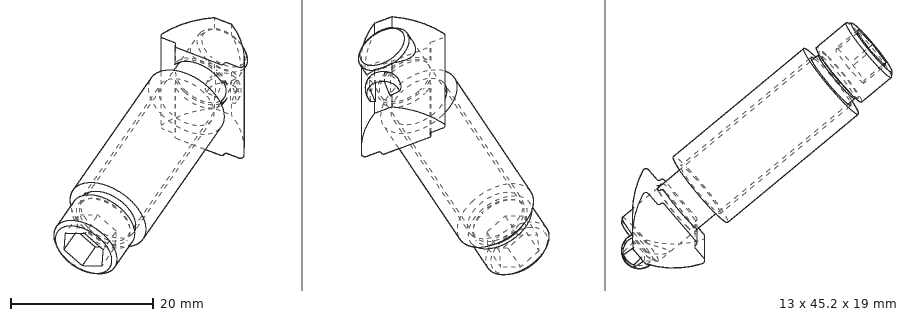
import cadquery as cq
import math

OVERALL_LENGTH = 45.2

SCREW_LENGTH = 42.95
SHANK_DIAMETER = 8.0
TIP_CHAMFER = 0.5
HEAD_DIAMETER = 10.0
HEAD_LENGTH = 6.0
HEAD_CHAMFER = 0.55
NECK_LENGTH = 0.4
NECK_FLARE = 0.25
HEX_ACROSS_FLATS = 6.0
HEX_DEPTH = 3.98
HEX_TURN = -3.4

SLEEVE_DIAMETER = 12.0
CLEARANCE_DIAMETER = 8.75
SLEEVE_LENGTH = 24.0
SLEEVE_START = 7.45

NUT_HEIGHT = 19.0
NUT_TOP = SLEEVE_DIAMETER / 2
NUT_FRONT = 35.15
NUT_BACK = 42.65
STEM_HALF_WIDTH = 3.85
STEM_DEPTH = 0.72
STEM_FILLET = 0.3
SHOULDER_Y = NUT_FRONT + STEM_DEPTH
SHOULDER_HALF_WIDTH = 6.75
SHOULDER_FILLET = 0.5
FLANK_MID_X = 4.2
FLANK_MID_Y = 40.2
BACK_HALF_WIDTH = 1.35

NOSE_Z = -8.5
NOSE_RADIUS = OVERALL_LENGTH - NUT_BACK
NOSE_BAND_HALF_HEIGHT = 1.05
NOSE_CONE_RADIUS = math.sqrt(NOSE_RADIUS**2 - NOSE_BAND_HALF_HEIGHT**2)
NOSE_APEX = NOSE_BAND_HALF_HEIGHT + NOSE_CONE_RADIUS
NOSE_SLOT_WIDTH = 2.35


def rod(diameter, start, length):
    """Cylinder on the screw axis."""
    plane = cq.Workplane("XZ", origin=(0, start, 0))
    return plane.circle(diameter / 2).extrude(-length)


def make_screw():
    shank_radius = SHANK_DIAMETER / 2
    head_radius = HEAD_DIAMETER / 2
    screw = (
        cq.Workplane("XY")
        .polyline([
            (0, 0),
            (head_radius - HEAD_CHAMFER, 0),
            (head_radius, HEAD_CHAMFER),
            (head_radius, HEAD_LENGTH),
            (shank_radius + NECK_FLARE, HEAD_LENGTH),
            (shank_radius, HEAD_LENGTH + NECK_LENGTH),
            (shank_radius, SCREW_LENGTH - TIP_CHAMFER),
            (shank_radius - TIP_CHAMFER, SCREW_LENGTH),
            (0, SCREW_LENGTH),
        ])
        .close()
        .revolve(360, (0, 0), (0, 1))
    )
    hex_across_corners = HEX_ACROSS_FLATS / math.cos(math.pi / 6)
    socket = (
        cq.Workplane("XZ")
        .transformed(rotate=(0, 0, 30 + HEX_TURN))
        .polygon(6, hex_across_corners)
        .extrude(-HEX_DEPTH)
    )
    return screw.cut(socket)


def make_sleeve():
    sleeve = rod(SLEEVE_DIAMETER, SLEEVE_START, SLEEVE_LENGTH)
    return sleeve.cut(rod(CLEARANCE_DIAMETER, SLEEVE_START, SLEEVE_LENGTH))


def make_nut_block():
    """T-shaped prism with curved flanks and rounded shoulder and stem edges."""
    block = (
        cq.Workplane("XY", origin=(0, 0, NUT_TOP))
        .moveTo(STEM_HALF_WIDTH, NUT_FRONT)
        .lineTo(STEM_HALF_WIDTH, SHOULDER_Y)
        .lineTo(SHOULDER_HALF_WIDTH, SHOULDER_Y)
        .threePointArc((FLANK_MID_X, FLANK_MID_Y), (BACK_HALF_WIDTH, NUT_BACK))
        .lineTo(-BACK_HALF_WIDTH, NUT_BACK)
        .threePointArc((-FLANK_MID_X, FLANK_MID_Y), (-SHOULDER_HALF_WIDTH, SHOULDER_Y))
        .lineTo(-STEM_HALF_WIDTH, SHOULDER_Y)
        .lineTo(-STEM_HALF_WIDTH, NUT_FRONT)
        .close()
        .extrude(-NUT_HEIGHT)
    )
    shoulder_corners = [(side * SHOULDER_HALF_WIDTH, SHOULDER_Y) for side in (-1, 1)]
    stem_corners = [(side * STEM_HALF_WIDTH, y) for side in (-1, 1) for y in (NUT_FRONT, SHOULDER_Y)]
    block = round_upright_edges(block, shoulder_corners, SHOULDER_FILLET)
    return round_upright_edges(block, stem_corners, STEM_FILLET)


def round_upright_edges(body, corners, radius):
    """Fillet the Z-parallel edges nearest to the given XY corners."""
    middle_z = NUT_TOP - NUT_HEIGHT / 2
    for x, y in corners:
        edge = cq.selectors.NearestToPointSelector((x, y, middle_z))
        body = body.edges("|Z").edges(edge).fillet(radius)
    return body


def make_nose():
    """Spherical band between two cones about Z, with a round-ended slot through it."""
    nose = (
        cq.Workplane("XZ")
        .moveTo(0, -NOSE_APEX)
        .lineTo(NOSE_CONE_RADIUS, -NOSE_BAND_HALF_HEIGHT)
        .threePointArc((NOSE_RADIUS, 0), (NOSE_CONE_RADIUS, NOSE_BAND_HALF_HEIGHT))
        .lineTo(0, NOSE_APEX)
        .close()
        .revolve(360, (0, 0), (0, 1))
    )
    slot = (
        cq.Workplane("XY")
        .circle(NOSE_CONE_RADIUS)
        .extrude(NOSE_APEX, both=True)
        .intersect(cq.Workplane("XY").box(NOSE_SLOT_WIDTH, 2 * NOSE_RADIUS, 2 * NOSE_APEX))
    )
    return nose.cut(slot).translate((0, NUT_BACK, NOSE_Z))


def make_nut():
    nut = make_nut_block().union(make_nose())
    bore = rod(SHANK_DIAMETER, 0, SCREW_LENGTH)
    stem_recess = rod(CLEARANCE_DIAMETER, NUT_FRONT, STEM_DEPTH)
    return nut.cut(bore).cut(stem_recess)


screw = make_screw()
sleeve = make_sleeve()
nut = make_nut()

result = cq.Compound.makeCompound([screw.val(), sleeve.val(), *nut.vals()])